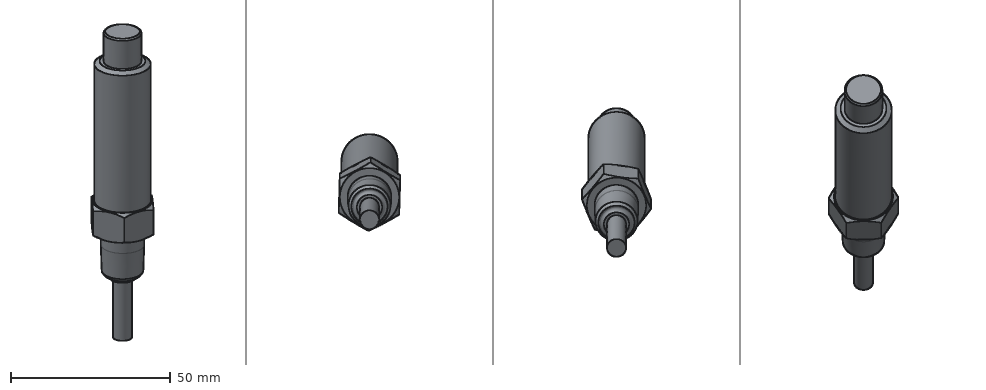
import cadquery as cq
import math

cable_top = 20.5
nose_bottom = 21.9
taper_bottom = 23.0
taper_top = 32.1
hex_bottom = 36.8
hex_top = 47.1
body_top = 95.4
total_length = 105.7

cable_diameter = 6.0
collar_diameter = 7.9
nose_diameter = 11.4
thread_diameter = 13.7
body_diameter = 17.8
body_face_diameter = 14.4
plug_diameter = 11.9

hex_across_flats = 19.0
hex_face_diameter = 18.6
plug_chamfer = 0.5
bevel_slope = math.tan(math.radians(30))
thread_taper = 1 / 16


def turned_shaft():
    """Every round section in one revolved profile, on the Z axis."""
    cable_radius = cable_diameter / 2
    collar_radius = collar_diameter / 2
    thread_radius = thread_diameter / 2
    taper_end_radius = thread_radius - thread_taper * (taper_top - taper_bottom) / 2
    body_radius = body_diameter / 2
    body_face_radius = body_face_diameter / 2
    body_bevel_height = (body_radius - body_face_radius) * bevel_slope
    plug_radius = plug_diameter / 2
    collar_fillet = nose_bottom - cable_top
    fillet_inset = collar_fillet * (1 - math.sqrt(0.5))
    fillet_middle = (collar_radius + fillet_inset, nose_bottom - fillet_inset)
    return (
        cq.Workplane("XZ")
        .moveTo(0, 0)
        .lineTo(cable_radius, 0)
        .lineTo(cable_radius, cable_top)
        .lineTo(collar_radius, cable_top)
        .threePointArc(fillet_middle, (collar_radius + collar_fillet, nose_bottom))
        .lineTo(nose_diameter / 2, nose_bottom)
        .lineTo(taper_end_radius, taper_bottom)
        .lineTo(thread_radius, taper_top)
        .lineTo(thread_radius, hex_bottom)
        .lineTo(body_radius, hex_bottom)
        .lineTo(body_radius, body_top - body_bevel_height)
        .lineTo(body_face_radius, body_top)
        .lineTo(plug_radius, body_top)
        .lineTo(plug_radius, total_length - plug_chamfer)
        .lineTo(plug_radius - plug_chamfer, total_length)
        .lineTo(0, total_length)
        .close()
        .revolve(360, (0, 0), (0, 1))
    )


def wrench_hexagon():
    """Hexagon with corners on the X axis, beveled conically at both ends."""
    corner_diameter = hex_across_flats / math.cos(math.radians(30))
    corner_radius = corner_diameter / 2
    face_radius = hex_face_diameter / 2
    bevel_height = (corner_radius - face_radius) * bevel_slope
    prism = (
        cq.Workplane("XY", origin=(0, 0, hex_bottom))
        .polygon(6, corner_diameter)
        .extrude(hex_top - hex_bottom)
    )
    bevel_envelope = (
        cq.Workplane("XZ")
        .moveTo(0, hex_bottom)
        .lineTo(face_radius, hex_bottom)
        .lineTo(corner_radius, hex_bottom + bevel_height)
        .lineTo(corner_radius, hex_top - bevel_height)
        .lineTo(face_radius, hex_top)
        .lineTo(0, hex_top)
        .close()
        .revolve(360, (0, 0), (0, 1))
    )
    return prism.intersect(bevel_envelope)


result = turned_shaft().union(wrench_hexagon())